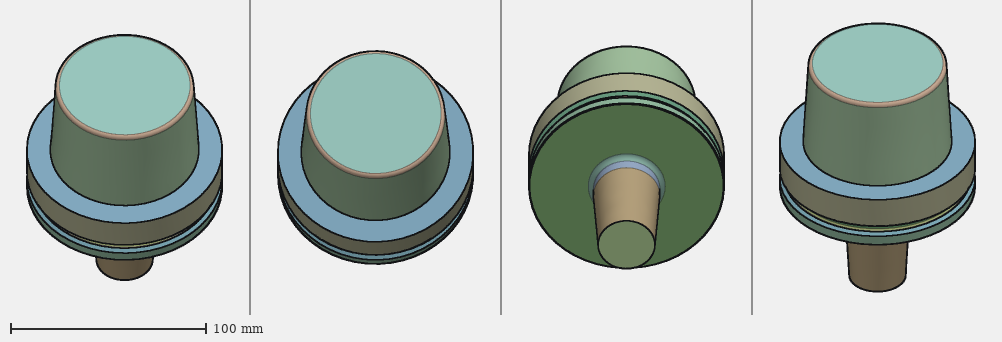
import cadquery as cq
import math

total_height = 135.0
flange_bottom = 56.0
flange_top = 85.0
stem_taper_top = 47.0

flange_radius = 50.02
head_base_radius = 38.1
head_top_radius = 35.4
stem_radius = 17.0
stem_taper_angle = 3.0
stem_end_radius = stem_radius - stem_taper_top * math.tan(math.radians(stem_taper_angle))

groove_center = 65.0
groove_mouth_width = 6.3
groove_slot_width = 3.8
groove_floor_radius = 46.2
groove_bevel_angle = 30.0
groove_floor_fillet = 0.8

head_top_fillet = 2.0
stem_root_fillet = 2.7
flange_chamfer = 0.4


def make_head():
    """Tapered head with a rounded top edge."""
    return (
        cq.Workplane("XY", origin=(0, 0, flange_top))
        .circle(head_base_radius)
        .workplane(offset=total_height - flange_top)
        .circle(head_top_radius)
        .loft()
        .faces(">Z")
        .edges()
        .fillet(head_top_fillet)
    )


def make_groove():
    """Square slot with a bevelled mouth and rounded floor corners, as a ring to cut away."""
    half_mouth = groove_mouth_width / 2
    half_slot = groove_slot_width / 2
    bevel_depth = (half_mouth - half_slot) / math.tan(math.radians(groove_bevel_angle))
    bevel_radius = flange_radius - bevel_depth
    ring = (
        cq.Workplane("YZ")
        .moveTo(groove_floor_radius, groove_center - half_slot)
        .lineTo(bevel_radius, groove_center - half_slot)
        .lineTo(flange_radius, groove_center - half_mouth)
        .lineTo(flange_radius, groove_center + half_mouth)
        .lineTo(bevel_radius, groove_center + half_slot)
        .lineTo(groove_floor_radius, groove_center + half_slot)
        .close()
        .revolve(360, (0, 0, 0), (0, 1, 0))
    )
    floor_edges = cq.selectors.RadiusNthSelector(0)
    return ring.edges(floor_edges).fillet(groove_floor_fillet)


def make_flange():
    """Grooved disc with a small chamfer on its lower rim."""
    disc = (
        cq.Workplane("XY", origin=(0, 0, flange_bottom))
        .circle(flange_radius)
        .extrude(flange_top - flange_bottom)
        .faces("<Z")
        .edges()
        .chamfer(flange_chamfer)
    )
    return disc.cut(make_groove())


def make_stem():
    """Stem with a tapered lower end and a flared root under the flange."""
    root_start = flange_bottom - stem_root_fillet
    arc_offset = stem_root_fillet * (1 - math.sqrt(0.5))
    return (
        cq.Workplane("YZ")
        .lineTo(stem_end_radius, 0)
        .lineTo(stem_radius, stem_taper_top)
        .lineTo(stem_radius, root_start)
        .threePointArc(
            (stem_radius + arc_offset, flange_bottom - arc_offset),
            (stem_radius + stem_root_fillet, flange_bottom),
        )
        .lineTo(0, flange_bottom)
        .close()
        .revolve(360, (0, 0, 0), (0, 1, 0))
    )


result = make_stem().union(make_flange()).union(make_head())